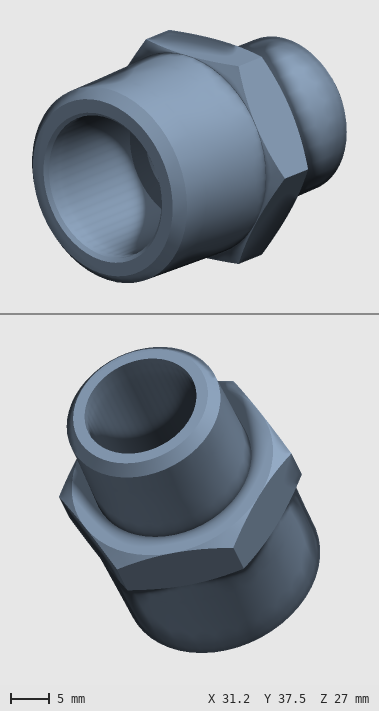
import cadquery as cq
import math

total_length = 37.5
large_length = 16.5
hex_width = 7.0
hex_across_flats = 27.0
hex_across_corners = hex_across_flats / math.cos(math.radians(30))

large_base_radius = 13.42
large_end_radius = 13.05
large_tip_radius = 11.78
small_base_radius = 10.6
small_end_radius = 10.3
small_tip_radius = 9.05
end_chamfer_length = 1.35

bore_radius = 7.5
mouth_radius = 9.98
socket_radius = 9.5
mouth_chamfer_length = 0.5
socket_depth = large_length
cone_length = 0.8

hex_chamfer_angle = 30.0

y_large_tip = -total_length / 2
y_hex_start = y_large_tip + large_length
y_hex_end = y_hex_start + hex_width
y_small_tip = total_length / 2


def revolve_profile(points):
    """Revolve a closed (radius, y) outline about the Y axis."""
    return cq.Workplane("XY").polyline(points).close().revolve(360, (0, 0, 0), (0, 1, 0))


def make_tapered_ends():
    y_hex_middle = (y_hex_start + y_hex_end) / 2
    return revolve_profile([
        (0, y_large_tip),
        (large_tip_radius, y_large_tip),
        (large_end_radius, y_large_tip + end_chamfer_length),
        (large_base_radius, y_hex_start),
        (large_base_radius, y_hex_middle),
        (small_base_radius, y_hex_middle),
        (small_base_radius, y_hex_end),
        (small_end_radius, y_small_tip - end_chamfer_length),
        (small_tip_radius, y_small_tip),
        (0, y_small_tip),
    ])


def make_hexagon():
    prism = (
        cq.Workplane("XZ", origin=(0, y_hex_start, 0))
        .polygon(6, hex_across_corners)
        .extrude(-hex_width)
    )
    face_radius = hex_across_flats / 2
    corner_radius = hex_across_corners / 2
    chamfer_length = (corner_radius - face_radius) * math.tan(math.radians(hex_chamfer_angle))
    envelope = revolve_profile([
        (0, y_hex_start),
        (face_radius, y_hex_start),
        (corner_radius, y_hex_start + chamfer_length),
        (corner_radius, y_hex_end - chamfer_length),
        (face_radius, y_hex_end),
        (0, y_hex_end),
    ])
    return prism.intersect(envelope)


def make_bore():
    y_socket_end = y_large_tip + socket_depth
    return revolve_profile([
        (0, y_large_tip),
        (mouth_radius, y_large_tip),
        (socket_radius, y_large_tip + mouth_chamfer_length),
        (socket_radius, y_socket_end),
        (bore_radius, y_socket_end + cone_length),
        (bore_radius, y_small_tip),
        (0, y_small_tip),
    ])


result = make_tapered_ends().union(make_hexagon()).cut(make_bore())